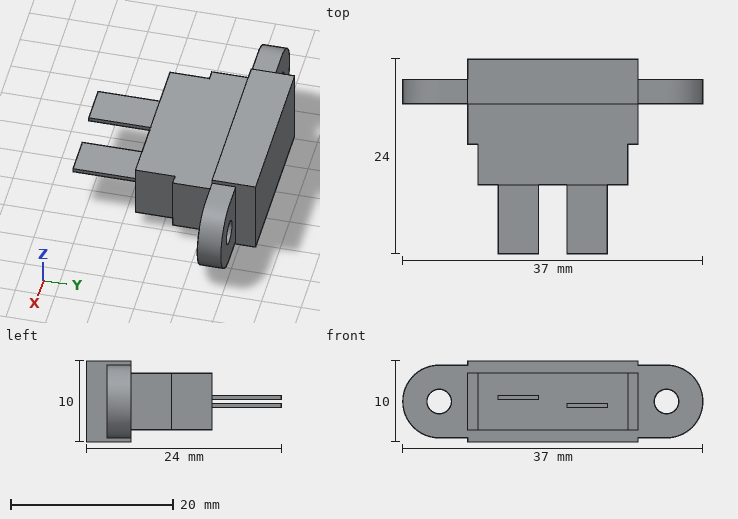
import cadquery as cq

flange_length = 37.0
flange_height = 9.0
flange_thickness = 3.0
hole_diameter = 3.0
hole_spacing = flange_length - flange_height

block_width = 21.0
block_depth = 5.5
block_height = 10.0

body_height = 7.0
body_depth = 5.0
nose_width = 18.5
nose_depth = 5.0

blade_width = 5.0
blade_length = 8.5
blade_thickness = 0.5
blade_spacing_x = 8.47
blade_spacing_z = 1.0

body_front = -body_depth
nose_front = body_front - nose_depth
blade_front = nose_front - blade_length


def box_from(front, width, depth, height, x=0, z=0):
    """Box reaching from the plane Y = front toward +Y, centred on (x, z)."""
    return cq.Workplane("XY").box(width, depth, height).translate((x, front + depth / 2, z))


def mounting_flange():
    """Rounded plate with a through hole at each end."""
    return (
        cq.Workplane("XZ")
        .slot2D(flange_length, flange_height)
        .extrude(-flange_thickness)
        .faces("<Y")
        .workplane(origin=(0, 0, 0))
        .pushPoints([(-hole_spacing / 2, 0), (hole_spacing / 2, 0)])
        .hole(hole_diameter)
    )


result = (
    mounting_flange()
    .union(box_from(0, block_width, block_depth, block_height))
    .union(box_from(body_front, block_width, body_depth, body_height))
    .union(box_from(nose_front, nose_width, nose_depth, body_height))
)

for side in (-1, 1):
    blade_x = side * blade_spacing_x / 2
    blade_z = -side * blade_spacing_z / 2
    blade = box_from(blade_front, blade_width, blade_length, blade_thickness, blade_x, blade_z)
    result = result.union(blade)